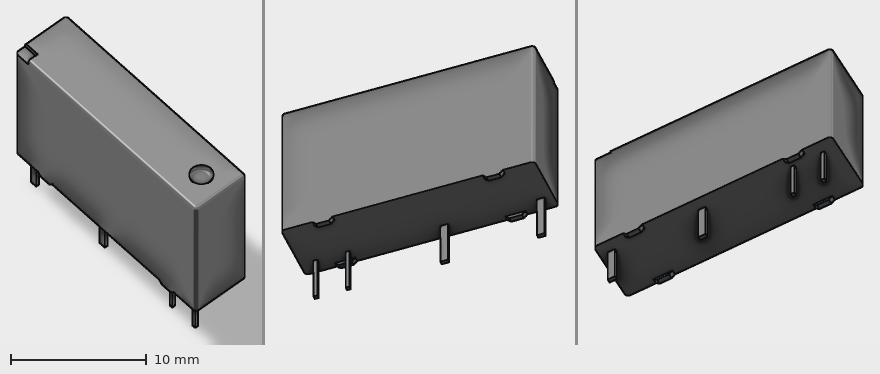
import cadquery as cq

LENGTH = 20.0
WIDTH = 5.0
CASE_HEIGHT = 12.2
EDGE_RADIUS = 0.3

NOTCH_LENGTH = 1.4
NOTCH_WIDTH = 0.95
NOTCH_DEPTH = 0.4

DIMPLE_FROM_END = 2.2
DIMPLE_FLOOR_RADIUS = 0.5
DIMPLE_DEPTH = 0.4

FOOT_FROM_END = 3.28
FOOT_BASE_LENGTH = 1.6
FOOT_TIP_LENGTH = 1.0
FOOT_HEIGHT = 0.3
FOOT_THICKNESS = 0.4

PIN_PITCH = 2.55
FIRST_PIN_X = 0.98
PIN_ROW_Y = 1.05
PIN_LENGTH = 3.7
PIN_THICKNESS = 0.3
WIDE_PIN = 0.6
NARROW_PIN = 0.3
PINS = [(0, WIDE_PIN), (3, WIDE_PIN), (6, NARROW_PIN), (7, NARROW_PIN)]


def make_case():
    case = cq.Workplane("XY").box(LENGTH, WIDTH, CASE_HEIGHT, centered=False)
    return case.edges("|Z or >Z").fillet(EDGE_RADIUS)


def make_notch():
    corner = cq.Workplane("XY").workplane(offset=CASE_HEIGHT - NOTCH_DEPTH)
    return corner.box(NOTCH_LENGTH, NOTCH_WIDTH, NOTCH_DEPTH, centered=False)


def make_dimple():
    """Revolve the dimple's half section about its vertical axis."""
    rim_radius = DIMPLE_FLOOR_RADIUS + DIMPLE_DEPTH
    half_section = (
        cq.Workplane("XZ")
        .lineTo(rim_radius, 0)
        .radiusArc((DIMPLE_FLOOR_RADIUS, -DIMPLE_DEPTH), DIMPLE_DEPTH)
        .lineTo(0, -DIMPLE_DEPTH)
        .close()
    )
    dimple = half_section.revolve(360, (0, 0), (0, 1))
    return dimple.translate((LENGTH - DIMPLE_FROM_END, WIDTH / 2, CASE_HEIGHT))


def make_foot(center_x, near_y):
    """Trapezoid foot hanging below the case, from near_y towards +Y."""
    half_base = FOOT_BASE_LENGTH / 2
    half_tip = FOOT_TIP_LENGTH / 2
    outline = cq.Workplane("XZ").polyline([
        (-half_base, 0),
        (half_base, 0),
        (half_tip, -FOOT_HEIGHT),
        (-half_tip, -FOOT_HEIGHT),
    ]).close()
    return outline.extrude(-FOOT_THICKNESS).translate((center_x, near_y, 0))


def make_pin(pitch_steps, pin_width):
    pin = cq.Workplane("XY").rect(pin_width, PIN_THICKNESS).extrude(-PIN_LENGTH)
    return pin.translate((FIRST_PIN_X + pitch_steps * PIN_PITCH, PIN_ROW_Y, 0))


result = make_case().cut(make_notch()).cut(make_dimple())

for foot_x in (FOOT_FROM_END, LENGTH - FOOT_FROM_END):
    for foot_y in (0, WIDTH - FOOT_THICKNESS):
        result = result.union(make_foot(foot_x, foot_y))

for steps, width in PINS:
    result = result.union(make_pin(steps, width))